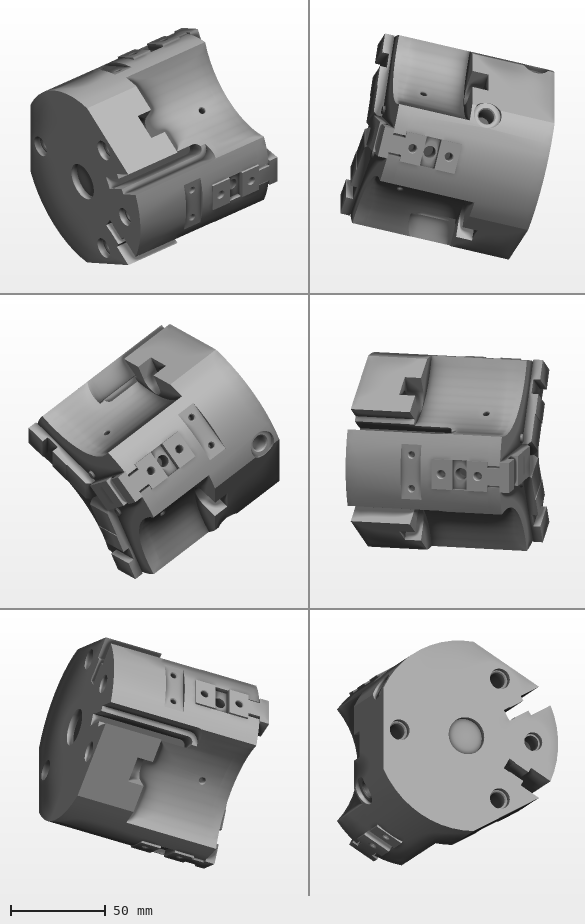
import cadquery as cq
import math


body_radius = 51.5
outer_limit = body_radius + 1.0
cover_bottom = 77.0
cover_top = 83.8
jaw_angles = (0, 120, 240)
side_angles = (60, 180, 300)
flat_distance = 46.4

scallop_center = 75.0
scallop_radius = 45.0
scallop_floor = {60: 32.1, 180: 45.1, 300: 32.1}

bolt_circle_radius = 37.5
screw_radius = 4.2
screw_chamfer_radius = 4.8
screw_sleeve_radius = 5.6
screw_sleeve_depth = 3.7
screw_head_radius = 7.0
screw_head_depth = 8.8
scallop_hole_height = 66.9
scallop_hole_radius = 1.6
scallop_hole_mouth = 2.1
scallop_hole_depth = 8.2

center_recess_radius = 10.0
center_recess_depth = 3.7
blind_hole_radius = 4.1
blind_sleeve_radius = 5.0
blind_sleeve_depth = 3.6
blind_hole_depth = 15.4
drill_point_angle = 118.0

slot_angles = (30, 330)
slot_arch_height = 50.0
slot_outer_half_width = 5.8
slot_neck_half_width = 2.9
slot_head_half_width = 3.2
slot_outer_start = 38.5
slot_neck_start = 29.7
slot_head_start = 26.1

ports = ((150, 10.1), (210, 36.1))
port_seat_distance = 49.0
port_seat_radius = 7.5
port_radius = 4.2
port_mouth_radius = 4.8
port_depth = 12.0

seat_angles = (0, 120)
seat_distance = 49.3
seat_bottom = 29.9
seat_top = 40.7
seat_hole_offset = 9.1
seat_hole_radius = 1.5
seat_hole_mouth = 2.1
seat_hole_depth = 6.2

button_distance = 13.8
button_radius = 2.5
button_top_radius = 2.1
button_height = 1.2

jaw_bottom = 47.0
jaw_top = 89.0
jaw_half_width = 8.0
jaw_neck_half_width = 4.6
cover_slot_half_width = 5.9
jaw_face = 52.0
jaw_tip = 0.2
jaw_point_angle = 120.0
jaw_tip_bevel = 6.8
jaw_step_start = 21.9
jaw_step = 0.3
jaw_groove = (33.1, 41.0)
jaw_groove_floor = 85.3
jaw_recess = (58.0, 66.0)
jaw_recess_distance = 48.2
jaw_screw_heights = (52.0, 71.9)
jaw_screw_radius = 2.1
jaw_screw_mouth = 2.5
jaw_screw_depth = 10.3
jaw_pin_radius = 3.2
jaw_pin_depth = 10.3


def turn(shape, angle):
    """Turn a shape made along +X to an angle about the gripper axis."""
    return shape.rotate((0, 0, 0), (0, 1, 0), -angle)


def block(x_range, y_range, half_width):
    """Box along +X, symmetric about Z = 0."""
    x_low, x_high = x_range
    y_low, y_high = y_range
    box = cq.Workplane("XY").box(x_high - x_low, y_high - y_low, 2 * half_width)
    return box.translate(((x_low + x_high) / 2, (y_low + y_high) / 2, 0))


def post(radius, y_low, y_high, x=0.0):
    """Cylinder parallel to the gripper axis."""
    plane = cq.Workplane("XZ", origin=(x, y_low, 0))
    return plane.circle(radius).extrude(y_low - y_high)


def cone(start, direction, start_radius, end_radius, length):
    return cq.Workplane(cq.Solid.makeCone(
        start_radius, end_radius, length, cq.Vector(*start), cq.Vector(*direction)))


def radial_hole(mouth, height, radius, mouth_radius, depth, z=0.0):
    """Hole drilled towards the axis from X = mouth, with a 45 degree countersink."""
    hole = cq.Workplane("YZ", origin=(mouth, height, z)).circle(radius).extrude(-depth)
    sink = cone((mouth, height, z), (-1, 0, 0), mouth_radius, radius, mouth_radius - radius)
    return hole.union(sink)


def scallop(angle):
    cutter = post(scallop_radius, scallop_floor[angle], cover_top, scallop_center)
    return turn(cutter, angle)


def foot_flat(angle):
    return turn(block((flat_distance, outer_limit), (0, cover_top), body_radius), angle)


def mounting_screw(angle):
    """Sleeve seat, countersink and bore from the foot, with the open head pocket above."""
    floor = scallop_floor[angle]
    x = bolt_circle_radius
    pocket = (floor - screw_head_depth, floor)
    sleeve = post(screw_sleeve_radius, 0, screw_sleeve_depth, x)
    sink = cone((x, screw_sleeve_depth, 0), (0, 1, 0), screw_chamfer_radius, screw_radius,
                screw_chamfer_radius - screw_radius)
    bore = post(screw_radius, 0, floor, x)
    head = post(screw_head_radius, *pocket, x).union(block((x, body_radius), pocket, screw_head_radius))
    return turn(sleeve.union(sink).union(bore).union(head), angle)


def scallop_hole(angle):
    rim = scallop_center - math.sqrt(scallop_radius**2 - scallop_hole_mouth**2)
    hole = radial_hole(rim, scallop_hole_height, scallop_hole_radius, scallop_hole_mouth,
                       scallop_hole_depth)
    return turn(hole, angle)


def blind_hole():
    """Sleeve seat and drilled hole with a conical end."""
    x = bolt_circle_radius
    sleeve = post(blind_sleeve_radius, 0, blind_sleeve_depth, x)
    bore = post(blind_hole_radius, 0, blind_hole_depth, x)
    point_length = blind_hole_radius / math.tan(math.radians(drill_point_angle / 2))
    point = cone((x, blind_hole_depth, 0), (0, 1, 0), blind_hole_radius, 0, point_length)
    return sleeve.union(bore).union(point)


def arched_slot(x_low, x_high, half_width):
    """Slot from the mounting face with a round end about a radial axis."""
    straight = block((x_low, x_high), (0, slot_arch_height), half_width)
    arch = cq.Workplane("YZ", origin=(x_low, slot_arch_height, 0)).circle(half_width)
    return straight.union(arch.extrude(x_high - x_low))


def stepped_slot(angle):
    head = arched_slot(slot_head_start, slot_neck_start, slot_head_half_width)
    neck = arched_slot(slot_neck_start, slot_outer_start, slot_neck_half_width)
    outer = arched_slot(slot_outer_start, outer_limit, slot_outer_half_width)
    return turn(head.union(neck).union(outer), angle)


def air_port(angle, height):
    seat = cq.Workplane("YZ", origin=(port_seat_distance, height, 0)).circle(port_seat_radius)
    hole = radial_hole(port_seat_distance, height, port_radius, port_mouth_radius, port_depth)
    return turn(seat.extrude(body_radius - port_seat_distance).union(hole), angle)


def sensor_seat(angle):
    cutter = block((seat_distance, outer_limit), (seat_bottom, seat_top), body_radius)
    for z in (-seat_hole_offset, seat_hole_offset):
        hole = radial_hole(seat_distance, (seat_bottom + seat_top) / 2, seat_hole_radius,
                           seat_hole_mouth, seat_hole_depth, z)
        cutter = cutter.union(hole)
    return turn(cutter, angle)


def jaw_wedge(y_low, y_high):
    """Sector that opens from the jaw point outwards."""
    reach = 2 * body_radius
    side = reach * math.tan(math.radians(jaw_point_angle / 2))
    outline = [(jaw_tip, 0), (jaw_tip + reach, -side), (jaw_tip + reach, side)]
    return cq.Workplane("XZ", origin=(0, y_low, 0)).polyline(outline).close().extrude(y_low - y_high)


def jaw_bar():
    """T-shaped bar: wide foot in the housing, neck in the cover, wide head on top."""
    reach = (0, jaw_face)
    foot = block(reach, (jaw_bottom, cover_bottom), jaw_half_width)
    neck = block(reach, (cover_bottom, cover_top), jaw_neck_half_width)
    head = block(reach, (cover_top, jaw_top), jaw_half_width)
    return foot.union(neck).union(head).intersect(jaw_wedge(jaw_bottom, jaw_top))


def make_jaw():
    jaw = jaw_bar()

    low_top = jaw_top - jaw_step
    jaw = jaw.cut(block((0, jaw_step_start), (low_top, jaw_top), jaw_half_width))
    bevel = [(0, low_top), (jaw_tip_bevel, low_top), (0, low_top - jaw_tip_bevel)]
    cutter = cq.Workplane("XY").polyline(bevel).close().extrude(jaw_half_width, both=True)
    jaw = jaw.cut(cutter)

    jaw = jaw.cut(block(jaw_groove, (jaw_groove_floor, jaw_top), jaw_half_width))

    jaw = jaw.cut(block((jaw_recess_distance, jaw_face), jaw_recess, jaw_half_width))
    pin = cq.Workplane("YZ", origin=(jaw_recess_distance, sum(jaw_recess) / 2, 0))
    jaw = jaw.cut(pin.circle(jaw_pin_radius).extrude(-jaw_pin_depth))
    for height in jaw_screw_heights:
        jaw = jaw.cut(radial_hole(jaw_face, height, jaw_screw_radius, jaw_screw_mouth, jaw_screw_depth))
    return jaw


def make_base():
    base = post(body_radius, 0, cover_bottom)
    base = base.cut(post(center_recess_radius, 0, center_recess_depth)).cut(blind_hole())
    for angle in side_angles:
        base = base.cut(foot_flat(angle)).cut(scallop(angle))
        base = base.cut(mounting_screw(angle)).cut(scallop_hole(angle))
    for angle in slot_angles:
        base = base.cut(stepped_slot(angle))
    for angle, height in ports:
        base = base.cut(air_port(angle, height))
    track = block((0, jaw_face), (jaw_bottom, cover_bottom), jaw_half_width)
    track = track.intersect(jaw_wedge(jaw_bottom, cover_bottom))
    for angle in jaw_angles:
        base = base.cut(turn(track, angle))
    for angle in seat_angles:
        base = base.cut(sensor_seat(angle))
    return base


def make_cover():
    cover = post(body_radius, cover_bottom, cover_top)
    for angle in side_angles:
        cover = cover.cut(scallop(angle))
        button = cone((button_distance, cover_top, 0), (0, 1, 0), button_radius, button_top_radius,
                      button_height)
        cover = cover.union(turn(button, angle))
    slot = block((0, jaw_face), (cover_bottom, cover_top), cover_slot_half_width)
    for angle in jaw_angles:
        cover = cover.cut(turn(slot, angle))
    return cover


housing = make_base().union(make_cover(), clean=False)
jaws = [turn(make_jaw(), angle) for angle in jaw_angles]

result = cq.Compound.makeCompound([housing.val(), *[jaw.val() for jaw in jaws]])